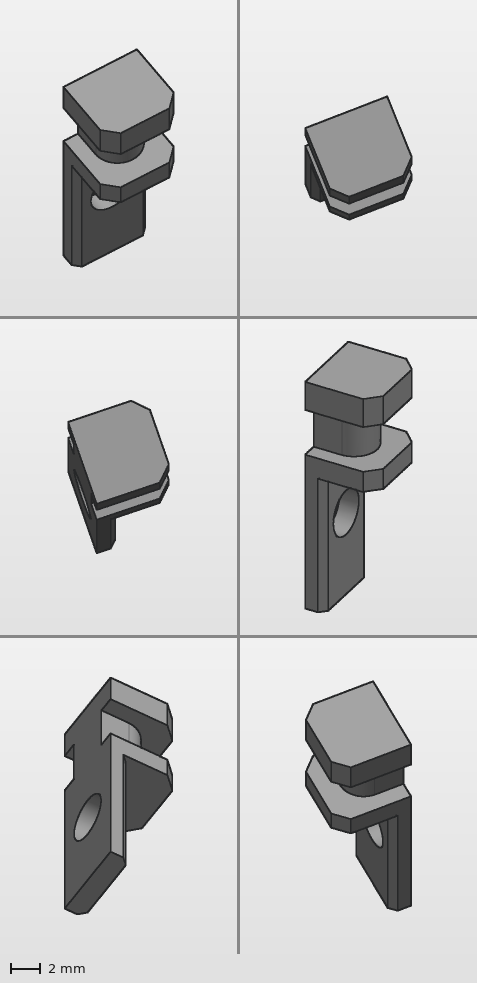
import cadquery as cq

depth = 5.5
width = 5.95
height = 18.0

head_thickness = 2.23
neck_height = 3.55
flange_thickness = 1.6
leg_height = height - head_thickness - neck_height - flange_thickness

plate_chamfer = 1.0
neck_width = 3.6
neck_flat_length = 2.18
neck_length = 3.92
leg_thickness = 1.51
leg_chamfer = 0.5
hole_diameter = 3.5
hole_height = 6.5


def chamfered_block(length, thickness, chamfer, bottom):
    """Full-width block from the X = 0 face, with its two +X vertical edges chamfered."""
    block = cq.Workplane("XY", origin=(0, 0, bottom)).box(
        length, width, thickness, centered=(False, True, False)
    )
    return block.edges("|Z and >X").chamfer(chamfer)


def neck():
    """Post between flange and head: flat at -X, rounded at +X."""
    half_width = neck_width / 2
    return (
        cq.Workplane("XY", origin=(0, 0, leg_height + flange_thickness))
        .moveTo(0, -half_width)
        .lineTo(neck_flat_length, -half_width)
        .threePointArc((neck_length, 0), (neck_flat_length, half_width))
        .lineTo(0, half_width)
        .close()
        .extrude(neck_height)
    )


def leg():
    """Flat leg with a round hole through its thickness."""
    hole = (
        cq.Workplane("YZ")
        .center(0, hole_height)
        .circle(hole_diameter / 2)
        .extrude(leg_thickness)
    )
    return chamfered_block(leg_thickness, leg_height, leg_chamfer, 0).cut(hole)


flange = chamfered_block(depth, flange_thickness, plate_chamfer, leg_height)
head = chamfered_block(depth, head_thickness, plate_chamfer, height - head_thickness)
result = leg().union(flange).union(neck()).union(head)